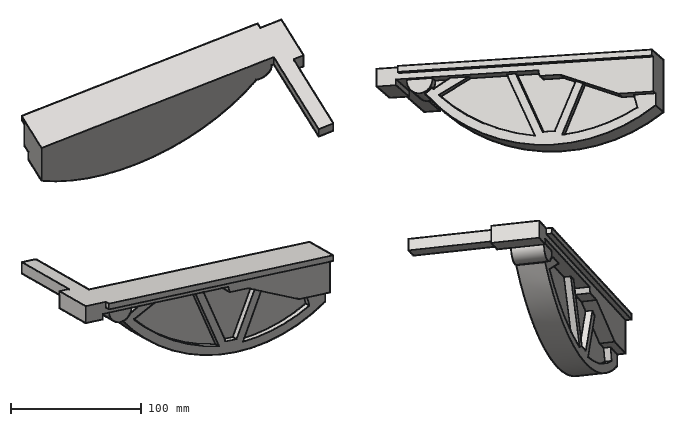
import cadquery as cq

LENGTH = 220.0
ARM_REACH = 112.5

BEAM_LEFT = 4.7
HUB_LEFT = 8.2
WEB_LEFT = 11.4
BEAM_RIGHT = 34.7
HEAD_RIGHT = 43.3

FLANGE_BOTTOM = -4.7
PLATE_BOTTOM = -9.4
HEAD_BOTTOM = -14.0
BEAM_BOTTOM = -32.0

ARM_START = 198.6
ARM_END = 211.3
FLANGE_END = 202.0
HEAD_START = 204.5

STEP_TOP_Y = 91.6
STEP_FOOT_Y = 90.3
TAPER_TOP_Y = 74.0
TAPER_FOOT_Y = 27.9

WEB_NEAR_END = (0.0, -41.4)
WEB_LOWEST = (80.3, -67.21)
WEB_FAR_END = (183.5, -20.6)

POCKET_DEPTH = 5.5

NEAR_BAY_TOP_Y = (24.0, 52.8)
NEAR_BAY_NEAR_CORNER = (14.4, -42.1)
NEAR_BAY_ARC_MIDDLE = (43.3, -54.4)
NEAR_BAY_FAR_CORNER = (74.3, -59.9)

MIDDLE_BAY_TOP_Y = (59.6, 111.1)
MIDDLE_BAY_FLOOR_Y = (80.1, 89.8)
MIDDLE_BAY_FLOOR_Z = -56.6

FAR_BAY_TOP_Y = (118.3, 148.4)
FAR_BAY_NEAR_CORNER = (95.8, -59.3)
FAR_BAY_ARC_MIDDLE = (135.7, -47.1)
FAR_BAY_FAR_CORNER = (172.2, -22.2)

HUB_BAY_TOP_Y = (163.4, 178.0)
HUB_BAY_LOWEST = (176.6, -17.3)
HUB_BAY_SIDE_FOOT_Z = -15.9

HUB_Y = 186.7
HUB_Z = -10.6
HUB_RADIUS = 10.1


def block(x_range, y_range, z_range):
    """Axis-aligned box given by its limits on each axis."""
    size = [high - low for low, high in (x_range, y_range, z_range)]
    corner = (x_range[0], y_range[0], z_range[0])
    return cq.Workplane("XY").box(*size, centered=False).translate(corner)


def side_sketch(x):
    """Workplane at the given X, with local axes along Y and Z."""
    return cq.Workplane("YZ", origin=(x, 0, 0))


def make_beam():
    """Plate that deepens towards the near end, with a side flange on top."""
    outline = [
        (0, 0),
        (LENGTH, 0),
        (LENGTH, PLATE_BOTTOM),
        (STEP_TOP_Y, PLATE_BOTTOM),
        (STEP_FOOT_Y, HEAD_BOTTOM),
        (TAPER_TOP_Y, HEAD_BOTTOM),
        (TAPER_FOOT_Y, BEAM_BOTTOM),
        (0, BEAM_BOTTOM),
    ]
    beam = side_sketch(BEAM_LEFT).polyline(outline).close().extrude(BEAM_RIGHT - BEAM_LEFT)
    flange = block((0, BEAM_LEFT), (0, FLANGE_END), (FLANGE_BOTTOM, 0))
    return beam.union(flange)


def make_head_and_arm():
    """Block at the far end and the arm reaching out to +X."""
    head = block((BEAM_LEFT, HEAD_RIGHT), (HEAD_START, LENGTH), (HEAD_BOTTOM, 0))
    arm = block((BEAM_LEFT, ARM_REACH), (ARM_START, ARM_END), (PLATE_BOTTOM, 0))
    return head.union(arm)


def straight_pocket(corners):
    """Pocket cutter with straight sides."""
    return side_sketch(WEB_LEFT).polyline(corners).close().extrude(POCKET_DEPTH)


def arched_pocket(top_y, near_corner, arc_middle, far_corner):
    """Pocket cutter with a flat top, slanted sides and a curved bottom."""
    near_top_y, far_top_y = top_y
    return (
        side_sketch(WEB_LEFT)
        .moveTo(near_top_y, PLATE_BOTTOM)
        .lineTo(*near_corner)
        .threePointArc(arc_middle, far_corner)
        .lineTo(far_top_y, PLATE_BOTTOM)
        .close()
        .extrude(POCKET_DEPTH)
    )


def make_pockets():
    """Cutters for the four bays that leave the web's ribs and rim standing."""
    near_bay = arched_pocket(
        NEAR_BAY_TOP_Y, NEAR_BAY_NEAR_CORNER, NEAR_BAY_ARC_MIDDLE, NEAR_BAY_FAR_CORNER
    )
    middle_bay = straight_pocket(
        [
            (MIDDLE_BAY_TOP_Y[0], PLATE_BOTTOM),
            (MIDDLE_BAY_FLOOR_Y[0], MIDDLE_BAY_FLOOR_Z),
            (MIDDLE_BAY_FLOOR_Y[1], MIDDLE_BAY_FLOOR_Z),
            (MIDDLE_BAY_TOP_Y[1], PLATE_BOTTOM),
        ]
    )
    far_bay = arched_pocket(
        FAR_BAY_TOP_Y, FAR_BAY_NEAR_CORNER, FAR_BAY_ARC_MIDDLE, FAR_BAY_FAR_CORNER
    )
    hub_bay = straight_pocket(
        [
            (HUB_BAY_TOP_Y[0], PLATE_BOTTOM),
            HUB_BAY_LOWEST,
            (HUB_BAY_TOP_Y[1], HUB_BAY_SIDE_FOOT_Z),
            (HUB_BAY_TOP_Y[1], PLATE_BOTTOM),
        ]
    )
    return [near_bay, middle_bay, far_bay, hub_bay]


def make_web():
    """Curved web under the beam, with pockets in its -X face."""
    web = (
        side_sketch(WEB_LEFT)
        .moveTo(0, PLATE_BOTTOM)
        .lineTo(*WEB_NEAR_END)
        .threePointArc(WEB_LOWEST, WEB_FAR_END)
        .lineTo(WEB_FAR_END[0], PLATE_BOTTOM)
        .close()
        .extrude(BEAM_RIGHT - WEB_LEFT)
    )
    for pocket in make_pockets():
        web = web.cut(pocket)
    return web


def make_hub():
    """Round hub along X, standing proud of the web's -X face."""
    hub = side_sketch(HUB_LEFT).center(HUB_Y, HUB_Z).circle(HUB_RADIUS)
    return hub.extrude(BEAM_RIGHT - HUB_LEFT)


result = make_web().union(make_hub()).union(make_beam()).union(make_head_and_arm()).clean()